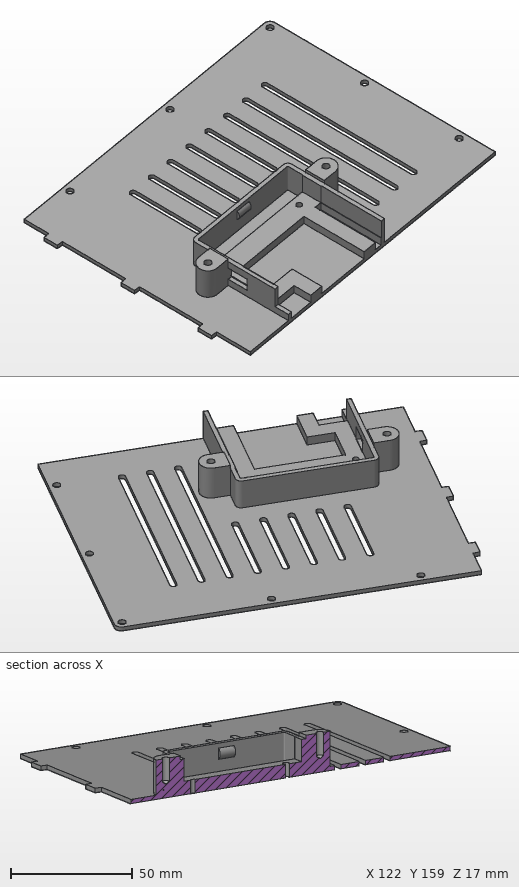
import cadquery as cq
import math

PANEL_X = 122.0
PANEL_Y = 155.99
PANEL_Z = 2.0
PANEL_CORNER_R = 3.0

TAB_COUNT = 3
TAB_FIRST_X = 16.8
TAB_PITCH = 41.6
TAB_BASE_WIDTH = 7.6
TAB_TIP_WIDTH = 7.2
TAB_LENGTH = 3.0

SCREW_DIAMETER = 3.3
SCREW_INSET = 3.5
SCREW_PITCH_X = 51.0
SCREW_PITCH_Y = 63.75
SCREWS_PER_EDGE = 3

SLOT_WIDTH = 3.0
SLOT_LEFT_X = 22.5
LONG_SLOT_RIGHT_X = 105.5
SHORT_SLOT_RIGHT_X = 60.5
LONG_SLOT_COUNT = 3
SHORT_SLOT_COUNT = 5
SLOT_PITCH = 12.0
SLOT_REAR_Y = 125.0

TRAY_LEFT_X = 69.5
TRAY_CENTER_Y = 54.85
TRAY_WIDTH_Y = 61.2
TRAY_TOP_Z = 15.5
WALL = 2.0
TRAY_CORNER_R = 2.5
TRAY_FRONT_Y = TRAY_CENTER_Y - TRAY_WIDTH_Y / 2
TRAY_REAR_Y = TRAY_CENTER_Y + TRAY_WIDTH_Y / 2
INNER_LEFT_X = TRAY_LEFT_X + WALL
INNER_FRONT_Y = TRAY_FRONT_Y + WALL
INNER_REAR_Y = TRAY_REAR_Y - WALL

REAR_STEP = 0.2

BOSS_RADIUS = 5.0
BOSS_X = 84.5
BOSS_OFFSET_Y = 37.6
BOSS_TOP_Z = 17.0
BOSS_HOLE_DEPTH = 10.0
DRILL_TIP_ANGLE = 118.0

PLATFORM_TOP_Z = 6.0
PLATFORM_LEFT_X = BOSS_X - BOSS_RADIUS
POCKET_LEFT_X = BOSS_X + BOSS_RADIUS
POCKET_FRONT_Y = 33.5
POCKET_REAR_Y = 72.5
REAR_GAP_FRONT_Y = 79.7
PAD_LEFT_X = 106.0
PAD_REAR_Y = 45.5
CORNER_CUT_LEFT_X = 113.0
CORNER_CUT_REAR_Y = 38.5

PIN_DIAMETER = 2.7
PIN_POINTS = [(83.5, 76.5), (85.5, 30.3)]

OPENING_BOTTOM_Z = 5.5
WINDOW_TOP_Z = 11.8
WINDOW_RIGHT_X = 99.7
NOTCH_LEFT_X = 114.8

RIB_LENGTH = 7.5
RIB_RADIUS = 3.0
RIB_DEPTH = 1.2
RIB_CENTER_Y = 55.0
RIB_CENTER_Z = 11.0


def block(x_min, x_max, y_min, y_max, z_min, z_max):
    """Axis-aligned box between two opposite corners."""
    size = (x_max - x_min, y_max - y_min, z_max - z_min)
    return cq.Workplane("XY").box(*size, centered=False).translate((x_min, y_min, z_min))


def make_panel():
    panel = block(0, PANEL_X, 0, PANEL_Y, 0, PANEL_Z)
    panel = panel.edges("|Z and <X and >Y").fillet(PANEL_CORNER_R)
    for index in range(TAB_COUNT):
        center_x = TAB_FIRST_X + index * TAB_PITCH
        tab = (
            cq.Workplane("XY")
            .moveTo(center_x - TAB_BASE_WIDTH / 2, 0)
            .lineTo(center_x - TAB_TIP_WIDTH / 2, -TAB_LENGTH)
            .lineTo(center_x + TAB_TIP_WIDTH / 2, -TAB_LENGTH)
            .lineTo(center_x + TAB_BASE_WIDTH / 2, 0)
            .close()
            .extrude(PANEL_Z)
        )
        panel = panel.union(tab)
    return panel


def panel_screw_holes():
    rear_y = PANEL_Y - SCREW_INSET
    rear_row = [(SCREW_INSET + i * SCREW_PITCH_X, rear_y) for i in range(SCREWS_PER_EDGE)]
    left_row = [(SCREW_INSET, rear_y - i * SCREW_PITCH_Y) for i in range(1, SCREWS_PER_EDGE)]
    return (
        cq.Workplane("XY")
        .pushPoints(rear_row + left_row)
        .circle(SCREW_DIAMETER / 2)
        .extrude(PANEL_Z)
    )


def slot_row(right_x, first_index, count):
    """Slots from the common left end to right_x, stepping toward the front."""
    center_x = (SLOT_LEFT_X + right_x) / 2
    rows = range(first_index, first_index + count)
    centers = [(center_x, SLOT_REAR_Y - i * SLOT_PITCH) for i in rows]
    return (
        cq.Workplane("XY")
        .pushPoints(centers)
        .slot2D(right_x - SLOT_LEFT_X, SLOT_WIDTH)
        .extrude(PANEL_Z)
    )


def make_tray_walls():
    outside = block(TRAY_LEFT_X, PANEL_X, TRAY_FRONT_Y, TRAY_REAR_Y, 0, TRAY_TOP_Z)
    outside = outside.edges("|Z and <X").fillet(TRAY_CORNER_R)
    inside = block(INNER_LEFT_X, PANEL_X, INNER_FRONT_Y, INNER_REAR_Y, PANEL_Z, TRAY_TOP_Z)
    inside = inside.edges("|Z and <X").fillet(TRAY_CORNER_R - WALL)
    return outside.cut(inside)


def make_platform():
    platform = block(PLATFORM_LEFT_X, PANEL_X, INNER_FRONT_Y, INNER_REAR_Y, PANEL_Z, PLATFORM_TOP_Z)
    pocket = block(POCKET_LEFT_X, PANEL_X, POCKET_FRONT_Y, POCKET_REAR_Y, PANEL_Z, PLATFORM_TOP_Z)
    pad = block(PAD_LEFT_X, PANEL_X, POCKET_FRONT_Y, PAD_REAR_Y, PANEL_Z, PLATFORM_TOP_Z)
    rear_gap = block(POCKET_LEFT_X, PANEL_X, REAR_GAP_FRONT_Y, INNER_REAR_Y, PANEL_Z, PLATFORM_TOP_Z)
    corner_cut = block(
        CORNER_CUT_LEFT_X, PANEL_X, INNER_FRONT_Y, CORNER_CUT_REAR_Y, PANEL_Z, PLATFORM_TOP_Z
    )
    return platform.cut(pocket).union(pad).cut(rear_gap).cut(corner_cut)


def make_rear_step():
    """Shallow step on the rear wall: full height at the boss, platform height beyond it."""
    step_y = INNER_REAR_Y - REAR_STEP
    at_boss = block(PLATFORM_LEFT_X, POCKET_LEFT_X, step_y, INNER_REAR_Y, PANEL_Z, TRAY_TOP_Z)
    beyond = block(POCKET_LEFT_X, PANEL_X, step_y, INNER_REAR_Y, PANEL_Z, PLATFORM_TOP_Z)
    return at_boss.union(beyond)


def front_wall_openings():
    window = block(
        POCKET_LEFT_X, WINDOW_RIGHT_X, TRAY_FRONT_Y, INNER_FRONT_Y, OPENING_BOTTOM_Z, WINDOW_TOP_Z
    )
    notch = block(NOTCH_LEFT_X, PANEL_X, TRAY_FRONT_Y, INNER_FRONT_Y, OPENING_BOTTOM_Z, TRAY_TOP_Z)
    return window.union(notch)


def make_boss(side):
    """Round-ended boss joined to the tray wall; side is -1 for front, +1 for rear."""
    center_y = TRAY_CENTER_Y + side * BOSS_OFFSET_Y
    wall_y = TRAY_CENTER_Y + side * TRAY_WIDTH_Y / 2
    left_x = BOSS_X - BOSS_RADIUS
    right_x = BOSS_X + BOSS_RADIUS
    web = block(left_x, right_x, min(center_y, wall_y), max(center_y, wall_y), 0, BOSS_TOP_Z)
    post = cq.Workplane("XY").center(BOSS_X, center_y).circle(BOSS_RADIUS).extrude(BOSS_TOP_Z)
    return web.union(post)


def boss_hole(side):
    """Blind drilled hole with a conical bottom."""
    radius = SCREW_DIAMETER / 2
    tip_depth = radius / math.tan(math.radians(DRILL_TIP_ANGLE / 2))
    shoulder_z = BOSS_TOP_Z - BOSS_HOLE_DEPTH
    hole = (
        cq.Workplane("XZ")
        .moveTo(0, BOSS_TOP_Z)
        .lineTo(radius, BOSS_TOP_Z)
        .lineTo(radius, shoulder_z)
        .lineTo(0, shoulder_z - tip_depth)
        .close()
        .revolve(360, (0, 0, 0), (0, 1, 0))
    )
    return hole.translate((BOSS_X, TRAY_CENTER_Y + side * BOSS_OFFSET_Y, 0))


def make_detent_rib():
    """Part-cylindrical rib lying along Y on the left wall."""
    half_chord = math.sqrt(RIB_RADIUS**2 - (RIB_RADIUS - RIB_DEPTH) ** 2)
    return (
        cq.Workplane("XZ", origin=(INNER_LEFT_X, RIB_CENTER_Y + RIB_LENGTH / 2, RIB_CENTER_Z))
        .moveTo(0, -half_chord)
        .threePointArc((RIB_DEPTH, 0), (0, half_chord))
        .close()
        .extrude(RIB_LENGTH)
    )


def pin_holes():
    return (
        cq.Workplane("XY")
        .pushPoints(PIN_POINTS)
        .circle(PIN_DIAMETER / 2)
        .extrude(PLATFORM_TOP_Z)
    )


result = make_panel()
result = result.cut(panel_screw_holes())
result = result.cut(slot_row(LONG_SLOT_RIGHT_X, 0, LONG_SLOT_COUNT))
result = result.cut(slot_row(SHORT_SLOT_RIGHT_X, LONG_SLOT_COUNT, SHORT_SLOT_COUNT))
result = result.union(make_tray_walls())
result = result.cut(front_wall_openings())
result = result.union(make_platform())
result = result.union(make_rear_step())
result = result.union(make_detent_rib())
for boss_side in (-1, 1):
    result = result.union(make_boss(boss_side))
    result = result.cut(boss_hole(boss_side))
result = result.cut(pin_holes())